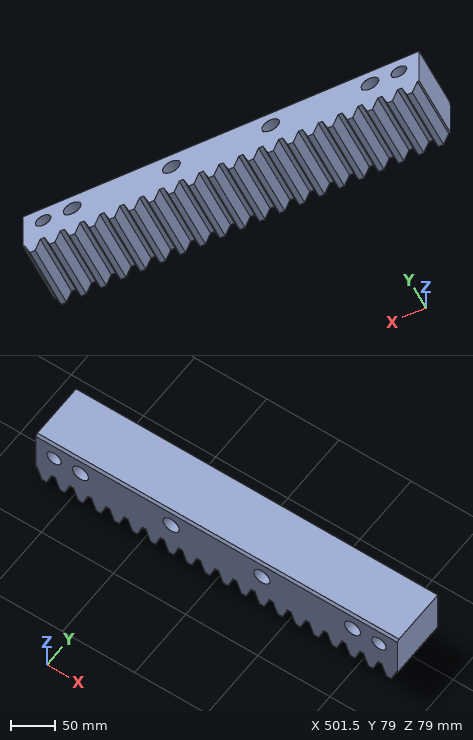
import cadquery as cq
import math

length = 501.5
width = 79.0
height = 79.0
edge_chamfer = 3.0

tooth_count = 20
end_trim = 0.55
toothed_length = length + 2 * end_trim
pitch = toothed_length / tooth_count
module = pitch / math.pi
pressure_angle = math.radians(20)
tip_depth = module
root_depth = 1.25 * module
tooth_height = tip_depth + root_depth
half_tip = pitch / 4 - tip_depth * math.tan(pressure_angle)
half_root = pitch / 4 + root_depth * math.tan(pressure_angle)

hole_height = 54.0
bolt_diameter = 22.0
bolt_count = 4
bolt_spacing = toothed_length / bolt_count
pin_diameter = 19.5
pin_end_distance = 25.5


def make_bar():
    """Full-size bar, centred on X and Y, with its front top edge chamfered."""
    bar = cq.Workplane("XY").box(length, width, height, centered=(True, True, False))
    return bar.faces("<Y").edges(">Z").chamfer(edge_chamfer)


def make_gap(center_x):
    """Space between two neighbouring teeth, across the full width."""
    half_mouth = pitch / 2 - half_tip
    half_floor = pitch / 2 - half_root
    return (
        cq.Workplane("XZ", origin=(center_x, 0, 0))
        .moveTo(-half_mouth, 0)
        .lineTo(-half_floor, tooth_height)
        .lineTo(half_floor, tooth_height)
        .lineTo(half_mouth, 0)
        .close()
        .extrude(width / 2, both=True)
    )


def make_holes(positions, diameter):
    """Round holes through the bar along Y."""
    return (
        cq.Workplane("XZ", origin=(0, 0, hole_height))
        .pushPoints([(x, 0) for x in positions])
        .circle(diameter / 2)
        .extrude(width / 2, both=True)
    )


result = make_bar()

for i in range(tooth_count + 1):
    result = result.cut(make_gap(i * pitch - toothed_length / 2))

bolt_positions = [(i + 0.5) * bolt_spacing - toothed_length / 2 for i in range(bolt_count)]
result = result.cut(make_holes(bolt_positions, bolt_diameter))

pin_offset = length / 2 - pin_end_distance
result = result.cut(make_holes([-pin_offset, pin_offset], pin_diameter))